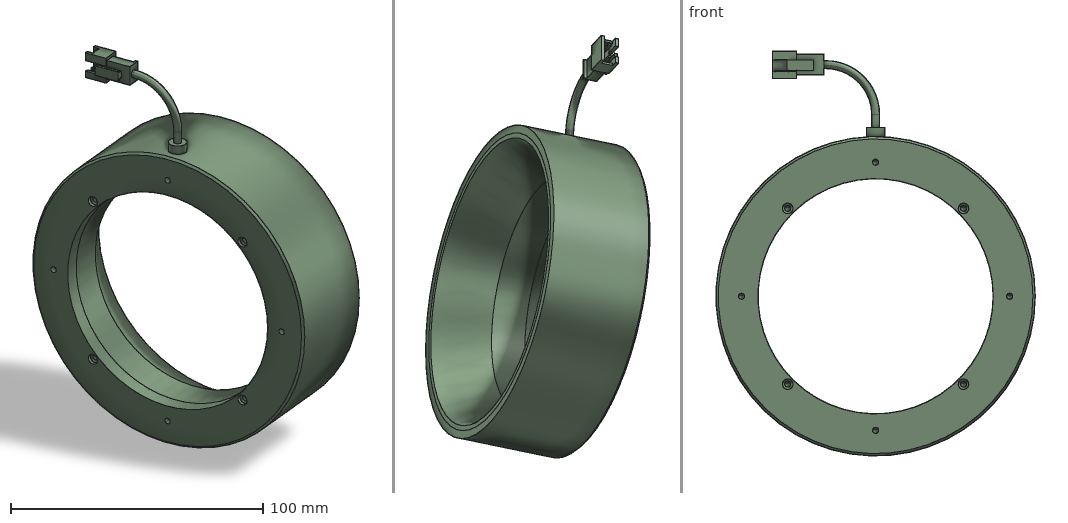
import cadquery as cq
import math

OVERALL_HEIGHT = 160.4

HOUSING_RADIUS = 126.5 / 2
HOUSING_DEPTH = 42.0
FRONT_CHAMFER = 1.0
BORE_RADIUS = 46.5
PLATE_THICKNESS = 6.4
SHELL_THICKNESS = 3.2

LINER_RADIUS = HOUSING_RADIUS - SHELL_THICKNESS
FLARE_START = 20.9
FLARE_RADIUS = 58.0

DRILL_TIP_ANGLE = 118
SMALL_HOLE_RADIUS = 1.2
SMALL_HOLE_DEPTH = 3.2
SMALL_HOLE_CIRCLE_RADIUS = 53.1
SCREW_HOLE_CIRCLE_RADIUS = 49.2
COUNTERBORE_RADIUS = 2.1
COUNTERBORE_DEPTH = 1.6

CABLE_Y = 7.5
GROMMET_RADIUS = 3.7
GROMMET_TOP = 66.9

CABLE_RADIUS = 1.6
BEND_RADIUS = 19.7
CABLE_END_Z = 91.7

CONNECTOR_MIN_X = -40.9
HEAD_MAX_X = -31.3
TAIL_MAX_X = -20.5
HEAD_TOP = OVERALL_HEIGHT - HOUSING_RADIUS
HEAD_HEIGHT = 10.9
HEAD_BACK_Y = 11.7
HEAD_FRONT_Y = 4.2
SIDE_WALL = 1.5
END_WALL = 1.0
CAVITY_DEPTH = 6.4
MOUTH_DEPTH = 2.7
TAIL_TOP = 95.9
TAIL_HEIGHT = 8.2
TAIL_BACK_Y = 9.5
TAIL_FRONT_Y = 4.8
FLANGE_LENGTH = 1.1
FLANGE_BACK_Y = 10.7

LATCH_MIN_X = -35.1
LATCH_MAX_X = -24.5
LATCH_FRONT_Y = 2.2
LATCH_THICKNESS = 1.1
LATCH_TOP = 93.7
LATCH_HEIGHT = 4.2
STEM_LENGTH = 5.3
STEM_HEIGHT = 2.9
LATCH_SLOT_HEIGHT = 4.7

PIN_SIZE = 1.0
PIN_MIN_X = -40.0
PIN_PITCH = 5.3


def box(x_min, x_max, y_min, y_max, z_min, z_max):
    """Solid block between the given limits."""
    size = (x_max - x_min, y_max - y_min, z_max - z_min)
    return cq.Workplane("XY").box(*size, centered=False).translate((x_min, y_min, z_min))


def revolve_about_y(points):
    """Solid of revolution about the Y axis from (radius, y) points."""
    return cq.Workplane("XY").polyline(points).close().revolve(360, (0, 0), (0, 1))


def tip_depth(radius):
    """Depth of the conical drill tip of a blind hole."""
    return radius / math.tan(math.radians(DRILL_TIP_ANGLE / 2))


def small_hole():
    """Blind drilled hole on the Y axis, opening at Y = 0."""
    return revolve_about_y([
        (0, 0),
        (SMALL_HOLE_RADIUS, 0),
        (SMALL_HOLE_RADIUS, SMALL_HOLE_DEPTH),
        (0, SMALL_HOLE_DEPTH + tip_depth(SMALL_HOLE_RADIUS)),
    ])


def screw_hole():
    """Counterbore on the Y axis with a conical floor, and a small hole below it."""
    counterbore = revolve_about_y([
        (0, 0),
        (COUNTERBORE_RADIUS, 0),
        (COUNTERBORE_RADIUS, COUNTERBORE_DEPTH),
        (0, COUNTERBORE_DEPTH + tip_depth(COUNTERBORE_RADIUS)),
    ])
    return counterbore.union(small_hole().translate((0, COUNTERBORE_DEPTH, 0)))


def on_circle(tool, radius, angle):
    """Copy of a tool moved out along X and turned about the Y axis."""
    return tool.translate((radius, 0, 0)).rotate((0, 0, 0), (0, 1, 0), angle)


def make_housing():
    """Front plate with an outer shell behind it."""
    housing = revolve_about_y([
        (BORE_RADIUS, 0),
        (HOUSING_RADIUS - FRONT_CHAMFER, 0),
        (HOUSING_RADIUS, FRONT_CHAMFER),
        (HOUSING_RADIUS, HOUSING_DEPTH),
        (LINER_RADIUS, HOUSING_DEPTH),
        (LINER_RADIUS, PLATE_THICKNESS),
        (BORE_RADIUS, PLATE_THICKNESS),
    ])
    for quarter in range(4):
        housing = housing.cut(on_circle(small_hole(), SMALL_HOLE_CIRCLE_RADIUS, 90 * quarter))
        housing = housing.cut(on_circle(screw_hole(), SCREW_HOLE_CIRCLE_RADIUS, 45 + 90 * quarter))
    return housing


def make_liner():
    """Ring behind the front plate, flush with its bore and filling the shell."""
    return revolve_about_y([
        (BORE_RADIUS, PLATE_THICKNESS),
        (LINER_RADIUS, PLATE_THICKNESS),
        (LINER_RADIUS, HOUSING_DEPTH),
        (FLARE_RADIUS, HOUSING_DEPTH),
        (BORE_RADIUS, FLARE_START),
    ])


def housing_envelope():
    """Plain cylinder with the outer surface of the housing."""
    return cq.Workplane("XZ").circle(HOUSING_RADIUS).extrude(-HOUSING_DEPTH)


def make_cable():
    """Round cable standing on the housing and bent a quarter turn to the connector tail."""
    start_z = HOUSING_RADIUS - CABLE_RADIUS
    bend_start_z = CABLE_END_Z - BEND_RADIUS
    bend_sine = math.sin(math.radians(45))
    path = (
        cq.Workplane("XZ", origin=(0, CABLE_Y, 0))
        .moveTo(0, start_z)
        .lineTo(0, bend_start_z)
        .threePointArc(
            (BEND_RADIUS * (bend_sine - 1), bend_start_z + BEND_RADIUS * bend_sine),
            (-BEND_RADIUS, CABLE_END_Z),
        )
        .lineTo(TAIL_MAX_X, CABLE_END_Z)
    )
    profile = cq.Workplane("XY", origin=(0, CABLE_Y, start_z)).circle(CABLE_RADIUS)
    return profile.sweep(path).cut(housing_envelope())


def make_grommet():
    """Collar around the cable, shaped below to the outer surface of the housing."""
    collar = cq.Workplane("XY").circle(GROMMET_RADIUS).circle(CABLE_RADIUS).extrude(GROMMET_TOP)
    return collar.translate((0, CABLE_Y, 0)).cut(housing_envelope())


def make_latch():
    """Latch bar and the stem that carries it."""
    bar_back_y = LATCH_FRONT_Y + LATCH_THICKNESS
    bottom = LATCH_TOP - LATCH_HEIGHT
    bar = box(LATCH_MIN_X, LATCH_MAX_X, LATCH_FRONT_Y, bar_back_y, bottom, LATCH_TOP)
    stem_top = LATCH_TOP - (LATCH_HEIGHT - STEM_HEIGHT) / 2
    stem = box(
        LATCH_MAX_X - STEM_LENGTH, LATCH_MAX_X,
        bar_back_y, TAIL_FRONT_Y,
        stem_top - STEM_HEIGHT, stem_top,
    )
    return bar.union(stem)


def make_pin(z):
    """Square contact pin from its tip to the cavity floor."""
    half = PIN_SIZE / 2
    floor_x = CONNECTOR_MIN_X + CAVITY_DEPTH
    return box(PIN_MIN_X, floor_x, CABLE_Y - half, CABLE_Y + half, z - half, z + half)


def make_connector():
    """Hollow head with two pins, a tail with an end flange, and the latch."""
    head_bottom = HEAD_TOP - HEAD_HEIGHT
    tail_bottom = TAIL_TOP - TAIL_HEIGHT
    inner_front_y = HEAD_FRONT_Y + SIDE_WALL
    inner_back_y = HEAD_BACK_Y - SIDE_WALL
    head = box(CONNECTOR_MIN_X, HEAD_MAX_X, HEAD_FRONT_Y, HEAD_BACK_Y, head_bottom, HEAD_TOP)
    cavity = box(
        CONNECTOR_MIN_X, CONNECTOR_MIN_X + CAVITY_DEPTH,
        inner_front_y, inner_back_y,
        head_bottom + END_WALL, HEAD_TOP - END_WALL,
    )
    mouth = box(
        CONNECTOR_MIN_X, CONNECTOR_MIN_X + MOUTH_DEPTH, inner_front_y, inner_back_y, head_bottom, HEAD_TOP,
    )
    latch_slot = box(
        CONNECTOR_MIN_X, HEAD_MAX_X, HEAD_FRONT_Y, inner_front_y, LATCH_TOP - LATCH_SLOT_HEIGHT, LATCH_TOP,
    )
    tail = box(HEAD_MAX_X, TAIL_MAX_X, TAIL_FRONT_Y, TAIL_BACK_Y, tail_bottom, TAIL_TOP)
    flange = box(
        TAIL_MAX_X - FLANGE_LENGTH, TAIL_MAX_X, TAIL_FRONT_Y, FLANGE_BACK_Y, tail_bottom, TAIL_TOP,
    )
    connector = head.cut(cavity).cut(mouth).cut(latch_slot)
    connector = connector.union(tail).union(flange).union(make_latch())
    for side in (-1, 1):
        connector = connector.union(make_pin(HEAD_TOP - HEAD_HEIGHT / 2 + side * PIN_PITCH / 2))
    return connector


housing = make_housing()
liner = make_liner()
grommet = make_grommet()
cable = make_cable()
connector = make_connector()

result = cq.Compound.makeCompound([
    housing.val(),
    liner.val(),
    grommet.val(),
    cable.val(),
    connector.val(),
])